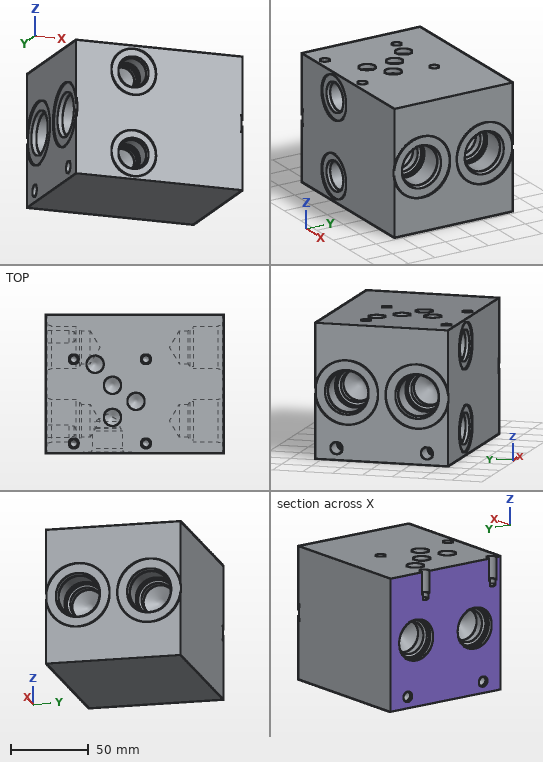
import cadquery as cq
import math

LENGTH = 114.3
WIDTH = 88.9
HEIGHT = 88.9
MID_Y = WIDTH / 2
MID_Z = HEIGHT / 2

DRILL_POINT_ANGLE = 118.0
SPOTFACE_DEPTH = 0.8

END_PORT_OFFSET = 23.5
END_PORT = dict(
    spotface_dia=42.1,
    seat_dia=29.3,
    seat_end_dia=27.4,
    seat_depth=3.0,
    thread_dia=27.0,
    thread_depth=19.4,
    minor_dia=24.9,
    minor_depth=21.7,
    drill_dia=21.1,
    drill_depth=28.6,
)

SIDE_PORT_X = 39.7
SIDE_PORT_OFFSET = 27.1
SIDE_PORT = dict(
    spotface_dia=30.6,
    seat_dia=20.7,
    seat_end_dia=19.2,
    seat_depth=2.3,
    thread_dia=19.1,
    thread_depth=14.3,
    minor_dia=17.5,
    minor_depth=16.0,
    drill_dia=15.9,
    drill_depth=20.6,
)

VALVE_PORT_DIA = 11.1
VALVE_PORT_DEPTH = 3.4
VALVE_PORTS = [(31.8, 57.2), (42.9, 43.7), (42.9, 23.1), (58.0, 33.4)]
VALVE_BOLTS = [(x, y) for x in (18.1, 64.4) for y in (6.4, 60.4)]
VALVE_BOLT = dict(thread_dia=6.4, thread_depth=14.9, drill_dia=5.1, drill_depth=18.3)

MOUNT_BOLT_OFFSET = 30.3
MOUNT_BOLT_Z = 7.8
MOUNT_BOLT = dict(thread_dia=7.9, thread_depth=14.9, drill_dia=6.5, drill_depth=18.3)


def revolved_cutter(profile, origin, direction):
    """Revolve (radius, depth) points about an axis entering the block at origin."""
    solid = (
        cq.Workplane("XZ")
        .polyline(profile)
        .close()
        .revolve(360, (0, 0, 0), (0, 1, 0))
        .val()
    )
    plane = cq.Plane(origin=origin, normal=direction)
    return solid.moved(cq.Location(plane))


def point_length(diameter):
    """Height of the conical end left by a drill."""
    return diameter / 2 / math.tan(math.radians(DRILL_POINT_ANGLE / 2))


def port_cutter(port, origin, direction):
    """Spotfaced, threaded port with a tapered seal seat, a coned shoulder and a pointed drill end."""
    spotface_r = port["spotface_dia"] / 2
    thread_r = port["thread_dia"] / 2
    minor_r = port["minor_dia"] / 2
    drill_r = port["drill_dia"] / 2
    minor_cone_end = port["minor_depth"] + point_length(port["minor_dia"]) - point_length(port["drill_dia"])
    seat_end = SPOTFACE_DEPTH + port["seat_depth"]
    profile = [
        (0, 0),
        (spotface_r, 0),
        (spotface_r, SPOTFACE_DEPTH),
        (port["seat_dia"] / 2, SPOTFACE_DEPTH),
        (port["seat_end_dia"] / 2, seat_end),
        (thread_r, seat_end),
        (thread_r, port["thread_depth"]),
        (minor_r, port["thread_depth"]),
        (minor_r, port["minor_depth"]),
        (drill_r, minor_cone_end),
        (drill_r, port["drill_depth"]),
        (0, port["drill_depth"] + point_length(port["drill_dia"])),
    ]
    return revolved_cutter(profile, origin, direction)


def bolt_cutter(bolt, origin, direction):
    """Threaded hole above a deeper pointed tap drill."""
    thread_r = bolt["thread_dia"] / 2
    drill_r = bolt["drill_dia"] / 2
    profile = [
        (0, 0),
        (thread_r, 0),
        (thread_r, bolt["thread_depth"]),
        (drill_r, bolt["thread_depth"]),
        (drill_r, bolt["drill_depth"]),
        (0, bolt["drill_depth"] + point_length(bolt["drill_dia"])),
    ]
    return revolved_cutter(profile, origin, direction)


def drilled_cutter(diameter, depth, origin, direction):
    """Plain pointed drill hole."""
    radius = diameter / 2
    profile = [(0, 0), (radius, 0), (radius, depth), (0, depth + point_length(diameter))]
    return revolved_cutter(profile, origin, direction)


INTO_PLUS_X = (1, 0, 0)
INTO_MINUS_X = (-1, 0, 0)
INTO_PLUS_Y = (0, 1, 0)
INTO_MINUS_Z = (0, 0, -1)

cutters = []

for side in (-1, 1):
    port_y = MID_Y + side * END_PORT_OFFSET
    cutters.append(port_cutter(END_PORT, (0, port_y, MID_Z), INTO_PLUS_X))
    cutters.append(port_cutter(END_PORT, (LENGTH, port_y, MID_Z), INTO_MINUS_X))

    port_z = MID_Z + side * SIDE_PORT_OFFSET
    cutters.append(port_cutter(SIDE_PORT, (SIDE_PORT_X, 0, port_z), INTO_PLUS_Y))

    bolt_y = MID_Y + side * MOUNT_BOLT_OFFSET
    cutters.append(bolt_cutter(MOUNT_BOLT, (0, bolt_y, MOUNT_BOLT_Z), INTO_PLUS_X))

for x, y in VALVE_PORTS:
    cutters.append(drilled_cutter(VALVE_PORT_DIA, VALVE_PORT_DEPTH, (x, y, HEIGHT), INTO_MINUS_Z))

for x, y in VALVE_BOLTS:
    cutters.append(bolt_cutter(VALVE_BOLT, (x, y, HEIGHT), INTO_MINUS_Z))

result = cq.Workplane("XY").box(LENGTH, WIDTH, HEIGHT, centered=False)
for cutter in cutters:
    result = result.cut(cq.Workplane(obj=cutter))